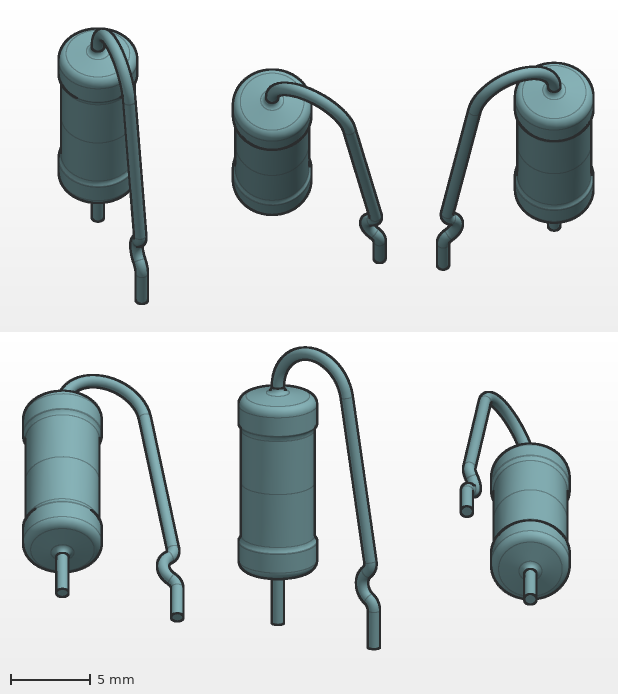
import cadquery as cq
import math


WIRE_RADIUS = 0.4
BEND_RADIUS = 2 * WIRE_RADIUS
BEND_SWEEP = 60.0
KINK_RADIUS = 1.08
LOOP_RADIUS = 2.75
LEG_TILT = 10.0
LEG_LENGTH = 10.8
TAIL_LENGTH = 2.47

BODY_MIDDLE = 9.45
CAP_RADIUS = 5.0 / 2
SLEEVE_RADIUS = 4.7 / 2
SLEEVE_HALF_LENGTH = 3.55
CAP_INNER = 3.93
CAP_EDGE_ROUND = 0.08
CAP_OUTER = 5.2
SHOULDER_RADIUS = 0.59
DOME_SLOPE = 10.0
NECK_RADIUS = 0.4


def arc_point(center, radius, degrees):
    """Point on a circle, at an angle measured counter-clockwise from +X."""
    angle = math.radians(degrees)
    return (center[0] + radius * math.cos(angle), center[1] + radius * math.sin(angle))


shoulder_center = (CAP_RADIUS - SHOULDER_RADIUS, CAP_OUTER)
dome_rim = arc_point(shoulder_center, SHOULDER_RADIUS, 90 - DOME_SLOPE)
neck_center_radius = WIRE_RADIUS + NECK_RADIUS
neck_foot_radius = neck_center_radius - NECK_RADIUS * math.sin(math.radians(DOME_SLOPE))
neck_foot_height = dome_rim[1] + (dome_rim[0] - neck_foot_radius) * math.tan(math.radians(DOME_SLOPE))
neck_foot = (neck_foot_radius, neck_foot_height)
neck_top = neck_foot_height + NECK_RADIUS * math.cos(math.radians(DOME_SLOPE))


def make_body():
    """Sleeve with two raised end caps, revolved from its upper half and mirrored."""
    shoulder_middle = arc_point(shoulder_center, SHOULDER_RADIUS, (90 - DOME_SLOPE) / 2)
    neck_middle = arc_point((neck_center_radius, neck_top), NECK_RADIUS, 180 + (90 - DOME_SLOPE) / 2)

    step = CAP_RADIUS - SLEEVE_RADIUS
    rise = CAP_INNER - SLEEVE_HALF_LENGTH
    flare_radius = (step**2 + rise**2) / (2 * step)
    flare_sweep = math.degrees(math.asin(rise / flare_radius))
    flare_center = (SLEEVE_RADIUS + flare_radius, SLEEVE_HALF_LENGTH)
    flare_middle = arc_point(flare_center, flare_radius, 180 - flare_sweep / 2)

    upper_half = (
        cq.Workplane("XZ")
        .moveTo(0, 0)
        .lineTo(SLEEVE_RADIUS, 0)
        .lineTo(SLEEVE_RADIUS, SLEEVE_HALF_LENGTH)
        .threePointArc(flare_middle, (CAP_RADIUS, CAP_INNER))
        .lineTo(CAP_RADIUS, CAP_OUTER)
        .threePointArc(shoulder_middle, dome_rim)
        .lineTo(*neck_foot)
        .threePointArc(neck_middle, (WIRE_RADIUS, neck_top))
        .lineTo(0, neck_top)
        .close()
        .revolve(360, (0, 0, 0), (0, 1, 0))
    )
    inner_edge = cq.selectors.NearestToPointSelector((0, 0, CAP_INNER))
    upper_half = upper_half.edges("%CIRCLE").edges(inner_edge).fillet(CAP_EDGE_ROUND)
    return upper_half.mirror("XY", union=True).translate((0, 0, BODY_MIDDLE))


def make_lower_lead():
    """Straight wire from the lower neck down to Z = 0."""
    return cq.Workplane("XY").circle(WIRE_RADIUS).extrude(BODY_MIDDLE - neck_top)


def add_bend(path, start, radius, start_angle, end_angle):
    """Add an arc between two angles on its circle; return the path and the arc's end point."""
    center = arc_point(start, -radius, start_angle)
    middle = arc_point(center, radius, (start_angle + end_angle) / 2)
    end = arc_point(center, radius, end_angle)
    return path.threePointArc(middle, end), end


def make_upper_lead():
    """Wire from the upper neck: loop, leaning leg, kink of three bends, vertical tail."""
    kink_angle = BEND_SWEEP - LEG_TILT
    point = (0, BODY_MIDDLE + neck_top)
    path = cq.Workplane("XZ").moveTo(*point)
    path, point = add_bend(path, point, LOOP_RADIUS, 180, LEG_TILT)

    point = arc_point(point, LEG_LENGTH, LEG_TILT - 90)
    path = path.lineTo(*point)

    path, point = add_bend(path, point, BEND_RADIUS, LEG_TILT, -kink_angle)
    path, point = add_bend(path, point, KINK_RADIUS, 180 - kink_angle, 180 + BEND_SWEEP)
    path, point = add_bend(path, point, BEND_RADIUS, BEND_SWEEP, 0)
    path = path.lineTo(point[0], point[1] - TAIL_LENGTH)

    section = cq.Workplane("XY", origin=(0, 0, BODY_MIDDLE + neck_top)).circle(WIRE_RADIUS)
    return section.sweep(path)


body = make_body()
lower_lead = make_lower_lead()
upper_lead = make_upper_lead()

result = cq.Compound.makeCompound([body.val(), lower_lead.val(), upper_lead.val()])